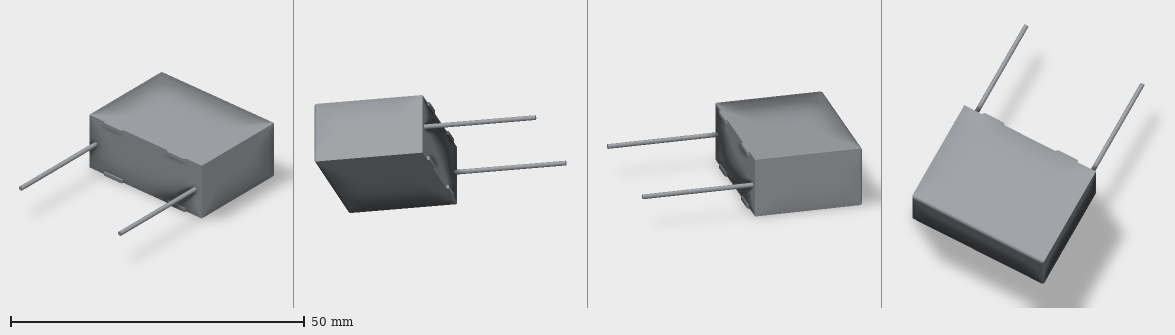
import cadquery as cq

total_length = 38.5
body_width = 25.5
body_height = 10.5
lead_length = 19.5
body_depth = total_length - lead_length
back_fillet = 0.5

lead_diameter = 0.8
lead_pitch = 22.5

foot_pitch = 14.25
foot_base_width = 4.3
foot_end_slope = 0.25
foot_projection = 0.4
foot_thickness = 0.65


def make_foot(x_center, z_bottom):
    """Trapezoidal foot that narrows away from the lead face."""
    half_base = foot_base_width / 2
    half_tip = half_base - foot_end_slope
    return (
        cq.Workplane("XY", origin=(x_center, 0, z_bottom))
        .polyline([
            (-half_base, 0),
            (half_base, 0),
            (half_tip, -foot_projection),
            (-half_tip, -foot_projection),
        ])
        .close()
        .extrude(foot_thickness)
    )


def make_housing():
    """Box with rounded back edges and a foot near each end of both long front edges."""
    housing = (
        cq.Workplane("XY")
        .box(body_width, body_depth, body_height, centered=(True, False, True))
        .faces(">Y")
        .edges()
        .fillet(back_fillet)
    )
    lower_foot_z = -body_height / 2
    upper_foot_z = body_height / 2 - foot_thickness
    for x_center in (-foot_pitch / 2, foot_pitch / 2):
        for z_bottom in (lower_foot_z, upper_foot_z):
            housing = housing.union(make_foot(x_center, z_bottom))
    return housing


def make_lead(x_center):
    """Straight round wire that starts on the lead face and runs toward -Y."""
    return (
        cq.Workplane("XZ", origin=(x_center, 0, 0))
        .circle(lead_diameter / 2)
        .extrude(lead_length)
    )


housing = make_housing()
leads = [make_lead(x_center) for x_center in (-lead_pitch / 2, lead_pitch / 2)]

result = cq.Compound.makeCompound([housing.val(), *[lead.val() for lead in leads]])